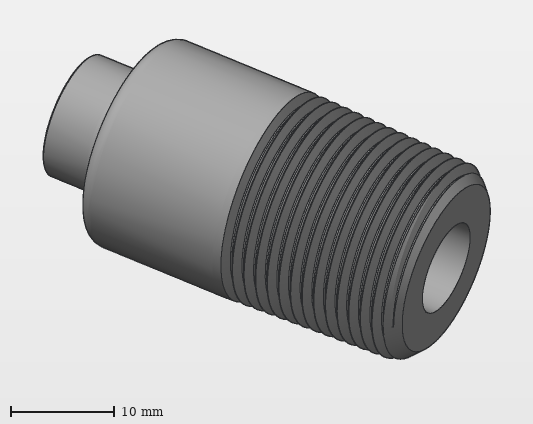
import cadquery as cq
import math

length = 41.275
bore_diameter = 9.4
tube_diameter = 12.7
body_diameter = 21.58

shoulder_x = 6.35
shoulder_flat_diameter = 15.75
shoulder_radius = (shoulder_flat_diameter - tube_diameter) / 2
tube_edge_chamfer = 0.13

taper_x = 21.4
taper_slope = 1 / 32
end_face_radius = 8.68

pitch = 1.27
turns = 14.5
groove_start_x = 22.28
flank_half_angle = math.radians(30)
root_flat = pitch / 8
turn_gap = 0.02
mouth_height = 0.04
cutter_height = 0.15

bore_radius = bore_diameter / 2
tube_radius = tube_diameter / 2
body_radius = body_diameter / 2


def cone_radius(x):
    """Radius of the tapered outside surface at a position along the axis."""
    return body_radius - taper_slope * (x - taper_x)


def make_blank():
    """Revolve the outside outline around the X axis."""
    chamfer_length = (cone_radius(length) - end_face_radius) / (1 - taper_slope)
    chamfer_x = length - chamfer_length

    arc_reach = shoulder_radius * math.sqrt(0.5)
    inner_center_x = shoulder_x - shoulder_radius
    inner_center_r = tube_radius + shoulder_radius
    outer_center_x = shoulder_x + shoulder_radius
    outer_center_r = body_radius - shoulder_radius

    outline = (
        cq.Workplane("XY")
        .moveTo(0, 0)
        .lineTo(0, tube_radius - tube_edge_chamfer)
        .lineTo(tube_edge_chamfer, tube_radius)
        .lineTo(inner_center_x, tube_radius)
        .threePointArc(
            (inner_center_x + arc_reach, inner_center_r - arc_reach),
            (shoulder_x, inner_center_r),
        )
        .lineTo(shoulder_x, outer_center_r)
        .threePointArc(
            (outer_center_x - arc_reach, outer_center_r + arc_reach),
            (outer_center_x, body_radius),
        )
        .lineTo(taper_x, body_radius)
        .lineTo(chamfer_x, cone_radius(chamfer_x))
        .lineTo(length, end_face_radius)
        .lineTo(length, 0)
        .close()
    )
    return outline.revolve(360, (0, 0, 0), (1, 0, 0))


def make_bore():
    """Through bore with a small chamfer at the tube end."""
    outline = (
        cq.Workplane("XY")
        .moveTo(0, 0)
        .lineTo(0, bore_radius + tube_edge_chamfer)
        .lineTo(tube_edge_chamfer, bore_radius)
        .lineTo(length, bore_radius)
        .lineTo(length, 0)
        .close()
    )
    return outline.revolve(360, (0, 0, 0), (1, 0, 0))


def make_groove_cutter():
    """Helical cutter, swept about Z from its small end and then laid along X."""
    thread_length = turns * pitch
    groove_end_x = groove_start_x + thread_length
    end_radius = cone_radius(groove_end_x)
    half_mouth = (pitch - turn_gap) / 2
    half_root = root_flat / 2
    mouth_radius = end_radius + mouth_height
    root_radius = mouth_radius - (half_mouth - half_root) / math.tan(flank_half_angle)
    top_radius = end_radius + cutter_height

    helix = cq.Wire.makeHelix(
        pitch,
        thread_length,
        end_radius,
        angle=math.degrees(math.atan(taper_slope)),
    )
    mouth_rise = taper_slope * half_mouth
    profile = (
        cq.Workplane("XZ")
        .moveTo(root_radius, -half_root)
        .lineTo(mouth_radius - mouth_rise, -half_mouth)
        .lineTo(top_radius, -half_mouth)
        .lineTo(top_radius, half_mouth)
        .lineTo(mouth_radius + mouth_rise, half_mouth)
        .lineTo(root_radius, half_root)
        .close()
    )
    cutter = profile.sweep(cq.Workplane(obj=helix), isFrenet=True)
    return (
        cutter
        .rotate((0, 0, 0), (0, 1, 0), -90)
        .rotate((0, 0, 0), (1, 0, 0), 90)
        .translate((groove_end_x, 0, 0))
    )


result = make_blank().cut(make_groove_cutter()).cut(make_bore()).solids()